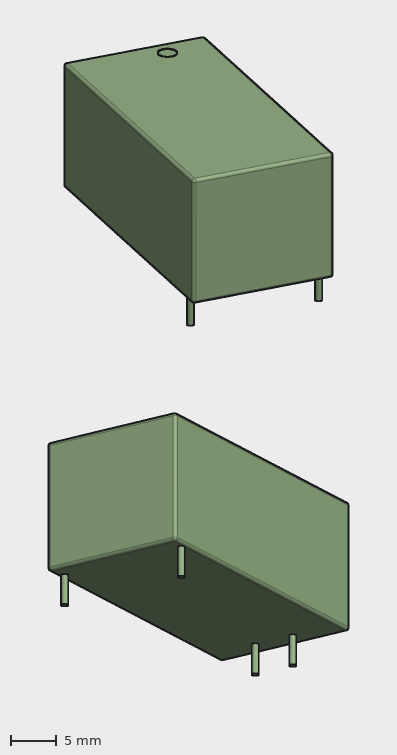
import cadquery as cq

case_length = 34.0
case_width = 17.0
case_height = 15.0
edge_radius = 0.37

overall_height = 18.5
pin_length = overall_height - case_height
pin_diameter = 0.8
pin_x = 14.72
close_pair_y = 2.48
wide_pair_y = 7.72

marker_diameter = 2.15
marker_depth = 0.1
marker_x = -14.62
marker_y = 2.95


def make_case():
    """Block standing on Z = 0 with every edge rounded."""
    block = cq.Workplane("XY").box(case_length, case_width, case_height, centered=(True, True, False))
    return block.edges().fillet(edge_radius)


def make_pin_pair(x, y_offset):
    """Two pins hanging below the case, mirrored about the XZ plane."""
    return (
        cq.Workplane("XY")
        .pushPoints([(x, -y_offset), (x, y_offset)])
        .circle(pin_diameter / 2)
        .extrude(-pin_length)
    )


def make_marker():
    """Disc to be cut from the top face."""
    return (
        cq.Workplane("XY", origin=(marker_x, marker_y, case_height))
        .circle(marker_diameter / 2)
        .extrude(-marker_depth)
    )


result = (
    make_case()
    .cut(make_marker())
    .union(make_pin_pair(-pin_x, close_pair_y))
    .union(make_pin_pair(pin_x, wide_pair_y))
)